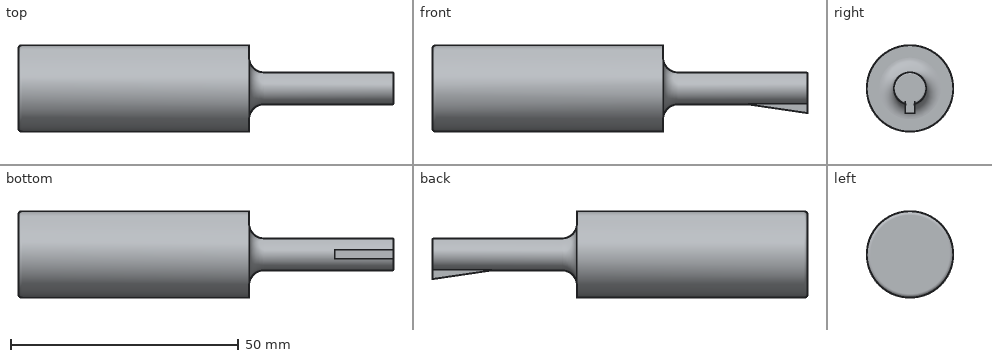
import cadquery as cq

total_length = 82.55
body_diameter = 19.1
body_length = 50.8
shaft_diameter = 7.1

body_rounding = 0.8
shaft_rounding = 0.4
neck_radius = 3.2

fin_length = 13.0
fin_depth = 5.45
fin_thickness = 2.0

body_radius = body_diameter / 2
shaft_radius = shaft_diameter / 2


def make_turned_part():
    """Revolve the body, the concave neck and the shaft as one profile."""
    neck_end = body_length + neck_radius
    neck_top = shaft_radius + neck_radius
    profile = (
        cq.Workplane("XZ")
        .lineTo(0, body_radius - body_rounding)
        .radiusArc((body_rounding, body_radius), body_rounding)
        .lineTo(body_length, body_radius)
        .lineTo(body_length, neck_top)
        .radiusArc((neck_end, shaft_radius), -neck_radius)
        .lineTo(total_length - shaft_rounding, shaft_radius)
        .radiusArc((total_length, shaft_radius - shaft_rounding), shaft_rounding)
        .lineTo(total_length, 0)
        .close()
    )
    return profile.revolve(360, (0, 0, 0), (1, 0, 0))


def make_fin():
    """Wedge centred on the shaft, deepest at the free end."""
    fin_start = total_length - fin_length
    return (
        cq.Workplane("XZ")
        .moveTo(fin_start, 0)
        .lineTo(fin_start, -shaft_radius)
        .lineTo(total_length, -fin_depth)
        .lineTo(total_length, 0)
        .close()
        .extrude(fin_thickness / 2, both=True)
    )


result = make_turned_part().union(make_fin())